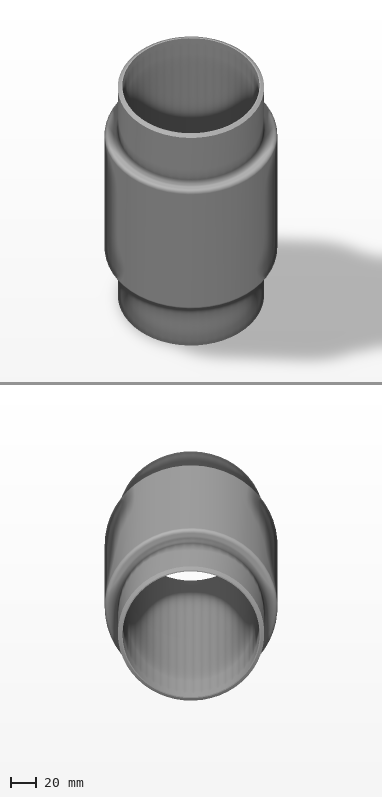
import cadquery as cq

LENGTH = 228.0
BODY_DIAMETER = 135.0
NECK_DIAMETER = 114.5
BORE_DIAMETER = 107.2
NECK_LENGTH = 50.0
SHOULDER_FILLET = 3.0
BEVEL_HEIGHT = 1.5
RIM_WIDTH = 1.0

body_length = LENGTH - 2 * NECK_LENGTH
bevel_width = (NECK_DIAMETER - BORE_DIAMETER) / 2 - RIM_WIDTH


def make_neck_core():
    """Full-length cylinder with bevelled outer edges at both ends."""
    core = cq.Workplane("XY").circle(NECK_DIAMETER / 2).extrude(LENGTH / 2, both=True)
    core = core.faces(">Z").chamfer(BEVEL_HEIGHT, bevel_width)
    return core.faces("<Z").chamfer(BEVEL_HEIGHT, bevel_width)


def make_body():
    """Thick middle section, still solid."""
    return cq.Workplane("XY").circle(BODY_DIAMETER / 2).extrude(body_length / 2, both=True)


def shoulder_edges(solid):
    """Circles at the rim of the body and at the foot of the necks."""
    span = BODY_DIAMETER
    tolerance = SHOULDER_FILLET / 10
    edges = []
    for z in (-body_length / 2, body_length / 2):
        box = cq.selectors.BoxSelector(
            (-span, -span, z - tolerance), (span, span, z + tolerance), boundingbox=True
        )
        edges += solid.edges(box).vals()
    return solid.newObject(edges)


def make_bore():
    """Cylinder that cuts the through bore."""
    return cq.Workplane("XY").circle(BORE_DIAMETER / 2).extrude(LENGTH / 2, both=True)


sleeve = make_neck_core().union(make_body())
sleeve = shoulder_edges(sleeve).fillet(SHOULDER_FILLET)
result = sleeve.cut(make_bore())